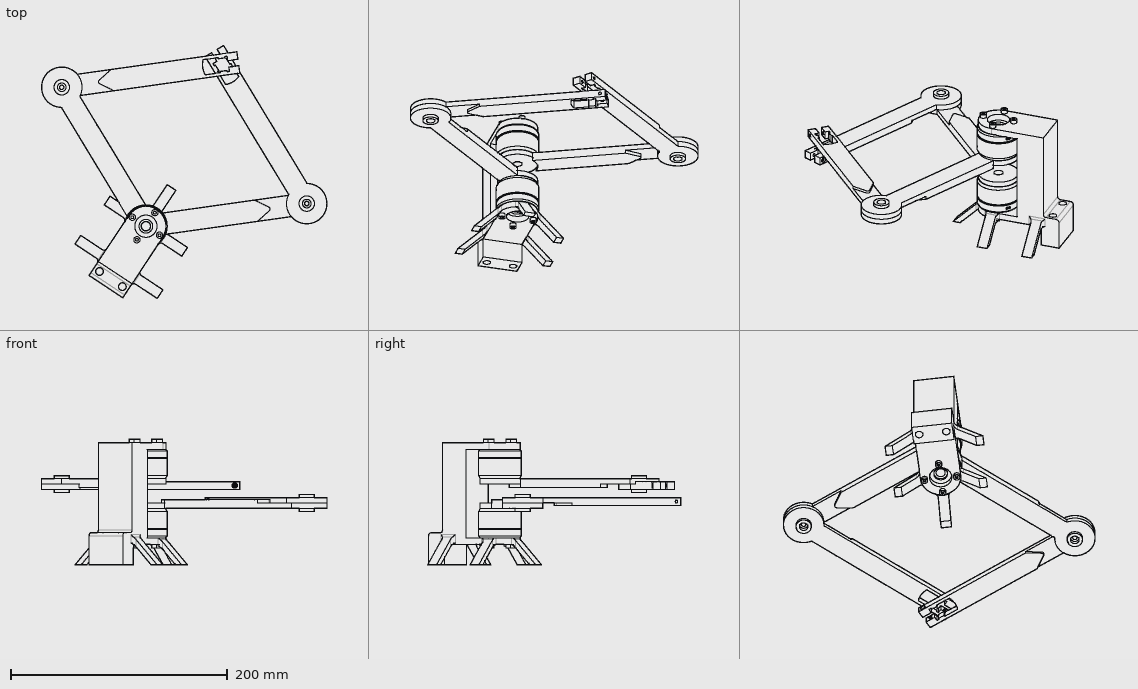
import cadquery as cq
import math


mid_height = 66.0
link_length = 150.0
left_angle = 121.2
right_angle = 8.0
elbow_offset = 8.7
disc_radius = 18.7
disc_thickness = 5.0
link_width = 20.0
inner_rib = 3.2
outer_rib = 2.5

rib_tip = 32.7
rib_shoulder = 47.5
rib_tip_radius = 2.0

clamp_overhang = 14.8
clamp_jaw_length = 9.5
clamp_pad_length = 6.3
clamp_pad_gap = 11.5
clamp_slit = 5.8
window_width = 14.0
window_radius = 18.5
clamp_bolt_radius = 1.3
clamp_head_radius = 2.5
clamp_head_depth = 2.0

pin_radius = 7.0
pin_overhang = 3.0
pin_bore_radius = 1.98
pin_recess_radius = 4.0
pin_recess_depth = 4.0

motor_radius = 19.8
shaft_bore_radius = 4.2
motor_recess_radius = 6.3
motor_recess_depth = 2.0
motor_link_chamfer = (3.0, 1.5)
motor_plate_chamfer = (1.5, 1.5)
wire_hole_radius = 1.0
wire_hole_depth = 2.0
wire_hole_spacing = 2.5
wire_hole_offset = 4.5
wire_heading = 138.0
groove_offset = 7.6
groove_width = 1.0
groove_depth = 0.5
bolt_circle_radius = 15.0
bolt_count = 4
bolt_radius = 1.5
bolt_head_radius = 3.0
bolt_head_height = 3.5
bolt_socket_radius = 1.3
bolt_socket_depth = 1.8

housing_heading = 56.5
housing_half_height = 47.0
plate_thickness = 6.0
housing_radius = 18.7
column_front = -25.3
column_back = -51.5
plate_hole_radius = 10.3
foot_front = -49.3
foot_back = -67.0
foot_height = 29.8
foot_round = 3.2
foot_cove = 2.6
foot_hole_radius = 3.5
foot_hole_place = -58.5
foot_hole_spacing = 25.3

leg_width = 9.8
leg_thickness = 6.9
rear_leg_place = -45.0
rear_leg_reach = 45.5
front_leg_reach = 43.0
leg_fillet = 3.2

inner_outer_face = elbow_offset + disc_thickness
plate_inner_face = housing_half_height - plate_thickness


def cylinder(radius, bottom, top):
    return cq.Workplane("XY").workplane(offset=bottom).circle(radius).extrude(top - bottom)


def slab(x_start, x_end, width, bottom, top):
    return cq.Workplane("XY").box(
        x_end - x_start, width, top - bottom, centered=(False, True, False)
    ).translate((x_start, 0, bottom))


def pointed_rib(blunt_end, bottom, top):
    """Bar along X whose pointed end faces an elbow axis at the origin."""
    half_width = link_width / 2
    outline = [
        (rib_tip, 0),
        (rib_shoulder, half_width),
        (blunt_end, half_width),
        (blunt_end, -half_width),
        (rib_shoulder, -half_width),
    ]
    rib = cq.Workplane("XY").workplane(offset=bottom).polyline(outline).close().extrude(top - bottom)
    return rib.edges(cq.selectors.NearestToPointSelector((rib_tip, 0, (bottom + top) / 2))).fillet(
        rib_tip_radius
    )


def inner_link():
    """Link from the motor axis at the origin to an elbow on +X, in the upper position."""
    bottom = elbow_offset
    top = inner_outer_face
    motor_disc = cylinder(disc_radius, bottom, top)
    elbow_disc = motor_disc.translate((link_length, 0, 0))
    bar = slab(0, link_length, link_width, bottom, top)
    rib = pointed_rib(link_length, bottom - inner_rib, bottom)
    rib = rib.rotate((0, 0, 0), (0, 0, 1), 180).translate((link_length, 0, 0))
    rib = rib.cut(cylinder(disc_radius, bottom - inner_rib, bottom))
    link = motor_disc.union(elbow_disc).union(bar).union(rib)
    shaft_hole = cylinder(shaft_bore_radius, bottom, top)
    pin_hole = cylinder(pin_radius, bottom, top).translate((link_length, 0, 0))
    return link.cut(shaft_hole).cut(pin_hole)


def outer_link(head_side):
    """Link from an elbow at the origin to its clamp on +X, in the upper position.

    head_side is the sign of the Y side that takes the head of the clamp bolt.
    """
    top = elbow_offset
    bottom = elbow_offset - disc_thickness
    rib_top = top + outer_rib
    end = link_length + clamp_overhang
    jaw_start = end - clamp_jaw_length

    bar = slab(0, end, link_width, bottom, top)
    link = cylinder(disc_radius, bottom, top).union(bar).union(pointed_rib(end, top, rib_top))
    link = link.cut(cylinder(pin_radius, bottom, top))

    window = slab(link_length - window_radius, jaw_start, window_width, bottom, rib_top)
    window = window.intersect(cylinder(window_radius, bottom, rib_top).translate((link_length, 0, 0)))
    slit = slab(link_length, end, clamp_slit, bottom, rib_top)
    pad_start = link_length - clamp_pad_length / 2
    pad_end = link_length + clamp_pad_length / 2
    pads = slab(pad_start, pad_end, window_width, bottom, rib_top).cut(
        slab(pad_start, pad_end, clamp_pad_gap, bottom, rib_top)
    )
    link = link.cut(window.cut(pads)).cut(slit)

    bolt_place = cq.Vector(
        (jaw_start + end) / 2,
        head_side * link_width / 2,
        (bottom + rib_top) / 2,
    )
    inward = cq.Vector(0, -head_side, 0)
    bolt_hole = cq.Solid.makeCylinder(clamp_bolt_radius, link_width, bolt_place, inward)
    head_recess = cq.Solid.makeCylinder(clamp_head_radius, clamp_head_depth, bolt_place, inward)
    return link.cut(cq.Workplane(bolt_hole)).cut(cq.Workplane(head_recess))


def elbow_pin():
    """Hollow pin through both elbow discs, in the upper position."""
    bottom = elbow_offset - disc_thickness - pin_overhang
    top = inner_outer_face + pin_overhang
    bore = cylinder(pin_bore_radius, bottom, top)
    top_recess = cylinder(pin_recess_radius, top - pin_recess_depth, top)
    bottom_recess = cylinder(pin_recess_radius, bottom, bottom + pin_recess_depth)
    return cylinder(pin_radius, bottom, top).cut(bore).cut(top_recess).cut(bottom_recess)


def bolt_places():
    angles = [math.radians(360 / bolt_count * i) for i in range(bolt_count)]
    return [(bolt_circle_radius * math.cos(a), bolt_circle_radius * math.sin(a)) for a in angles]


def wire_hole(side, height):
    """Cutter for one of the two parallel wire holes in the rim; side is the sign of its offset."""
    mouth = cq.Vector(motor_radius, side * wire_hole_spacing / 2, height)
    hole = cq.Solid.makeCylinder(wire_hole_radius, wire_hole_depth, mouth, cq.Vector(-1, 0, 0))
    return cq.Workplane(hole).rotate((0, 0, 0), (0, 0, 1), wire_heading)


def motor():
    """Motor between an inner link and a housing plate, with its bolts, in the upper position."""
    link_rise, link_inset = motor_link_chamfer
    plate_rise, plate_inset = motor_plate_chamfer
    bottom = inner_outer_face
    top = plate_inner_face
    profile = [
        (shaft_bore_radius, bottom),
        (motor_radius - link_inset, bottom),
        (motor_radius, bottom + link_rise),
        (motor_radius, top - plate_rise),
        (motor_radius - plate_inset, top),
        (shaft_bore_radius, top),
    ]
    body = cq.Workplane("XZ").polyline(profile).close().revolve(360, (0, 0, 0), (0, 1, 0))
    groove_top = top - groove_offset
    groove = cylinder(motor_radius, groove_top - groove_width, groove_top).cut(
        cylinder(motor_radius - groove_depth, groove_top - groove_width, groove_top)
    )
    body = body.cut(groove).cut(cylinder(motor_recess_radius, top - motor_recess_depth, top))

    for side in (-1, 1):
        body = body.cut(wire_hole(side, top - wire_hole_offset))

    head_bottom = housing_half_height
    head_top = head_bottom + bolt_head_height
    for x, y in bolt_places():
        shank = cylinder(bolt_radius, top, head_bottom)
        head = cylinder(bolt_head_radius, head_bottom, head_top)
        socket = cylinder(bolt_socket_radius, head_top - bolt_socket_depth, head_top)
        bolt = shank.union(head).cut(socket)
        body = body.union(bolt.translate((x, y, 0)))
    return body


def housing_outline(back, bottom, top):
    """Block with a flat back and a round front end about the motor axis."""
    block = slab(back, 0, 2 * housing_radius, bottom, top)
    return block.union(cylinder(housing_radius, bottom, top))


def throat():
    """Opening for the motors and inner links, wide enough to trim the leg fillets as well."""
    reach = housing_radius + leg_fillet
    return slab(
        column_front,
        reach,
        2 * reach,
        mid_height - plate_inner_face,
        mid_height + plate_inner_face,
    )


def foot():
    """Block behind the column with a rounded top edge and a concave fillet against the column."""
    block = slab(foot_back, foot_front, 2 * housing_radius, 0, foot_height)
    block = block.edges("<X and >Z").fillet(foot_round)
    cove = (
        cq.Workplane("XZ", origin=(0, housing_radius, 0))
        .moveTo(column_back, foot_height)
        .lineTo(column_back - foot_cove, foot_height)
        .radiusArc((column_back, foot_height + foot_cove), -foot_cove)
        .close()
        .extrude(2 * housing_radius)
    )
    return block.union(cove)


def leg(place, reach, heading):
    """Sloping bar from the housing wall to the floor, filleted to the wall on its top and sides."""
    root_height = reach - housing_radius
    outline = [
        (reach, 0),
        (reach - leg_thickness, 0),
        (0, reach - leg_thickness),
        (0, reach),
    ]
    bar = cq.Workplane("XZ", origin=(0, leg_width / 2, 0)).polyline(outline).close().extrude(leg_width)

    wall = housing_outline(foot_back, 0, mid_height).translate((-place, 0, 0))
    wall = wall.rotate((0, 0, 0), (0, 0, 1), -heading)
    margin = leg_thickness / 4
    top_and_side_roots = cq.selectors.BoxSelector(
        (housing_radius - margin, -leg_width, root_height - leg_thickness + margin),
        (housing_radius + margin, leg_width, root_height + margin),
    )
    filleted = wall.union(bar).edges(top_and_side_roots).fillet(leg_fillet)
    return filleted.cut(wall).rotate((0, 0, 0), (0, 0, 1), heading).translate((place, 0, 0))


def housing():
    bottom = mid_height - housing_half_height
    full_height = mid_height + housing_half_height
    body = housing_outline(column_back, bottom, full_height).union(foot())
    legs = [
        (0, front_leg_reach, 0),
        (0, front_leg_reach, 90),
        (0, front_leg_reach, -90),
        (rear_leg_place, rear_leg_reach, 90),
        (rear_leg_place, rear_leg_reach, -90),
    ]
    for place, reach, heading in legs:
        body = body.union(leg(place, reach, heading))
    body = body.cut(throat())

    body = body.cut(cylinder(plate_hole_radius, 0, full_height))
    for x, y in bolt_places():
        body = body.cut(cylinder(bolt_radius, 0, full_height).translate((x, y, 0)))
    for side in (-1, 1):
        hole = cylinder(foot_hole_radius, 0, foot_height)
        body = body.cut(hole.translate((foot_hole_place, side * foot_hole_spacing / 2, 0)))
    return body.rotate((0, 0, 0), (0, 0, 1), housing_heading)


def placed(body, upper, heading, start=(0, 0)):
    """Turn a body to its heading and put it in the upper position, or mirrored into the lower one."""
    if not upper:
        body = body.mirror("XY")
    turned = body.rotate((0, 0, 0), (0, 0, 1), heading)
    return turned.translate((*start, mid_height)).val()


def arm(upper, inner_angle, outer_angle, head_side):
    """Motor, two links and elbow pin of one arm, as separate solids."""
    elbow_heading = math.radians(inner_angle)
    elbow = (link_length * math.cos(elbow_heading), link_length * math.sin(elbow_heading))
    return [
        placed(motor(), upper, housing_heading),
        placed(inner_link(), upper, inner_angle),
        placed(outer_link(head_side), upper, outer_angle, elbow),
        placed(elbow_pin(), upper, outer_angle, elbow),
    ]


upper_arm = arm(True, left_angle, right_angle, head_side=-1)
lower_arm = arm(False, right_angle, left_angle, head_side=1)

result = cq.Compound.makeCompound([housing().val(), *upper_arm, *lower_arm])